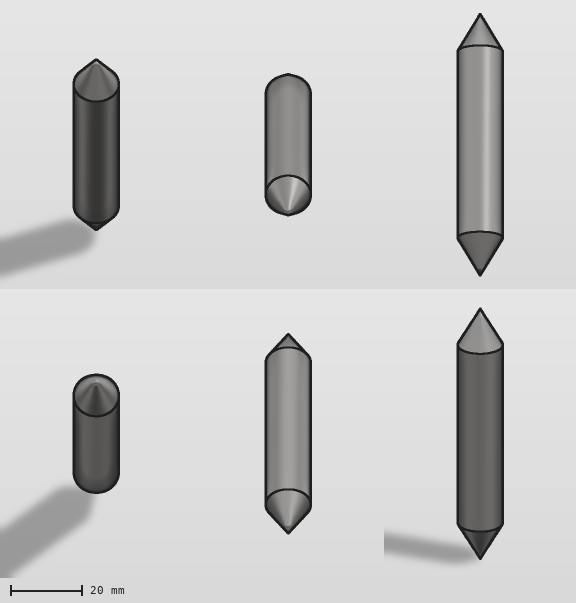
import cadquery as cq
import math

diameter = 12.7
overall_length = 76.2
point_angle = 60.0

radius = diameter / 2
half_length = overall_length / 2
point_height = radius / math.tan(math.radians(point_angle / 2))
shoulder_z = half_length - point_height


def pointed_pin():
    """Revolve the half profile, from tip to tip, about the Z axis."""
    profile = (
        cq.Workplane("XZ")
        .moveTo(0, -half_length)
        .lineTo(radius, -shoulder_z)
        .lineTo(radius, shoulder_z)
        .lineTo(0, half_length)
        .close()
    )
    return profile.revolve(360, (0, 0, 0), (0, 1, 0))


result = pointed_pin()